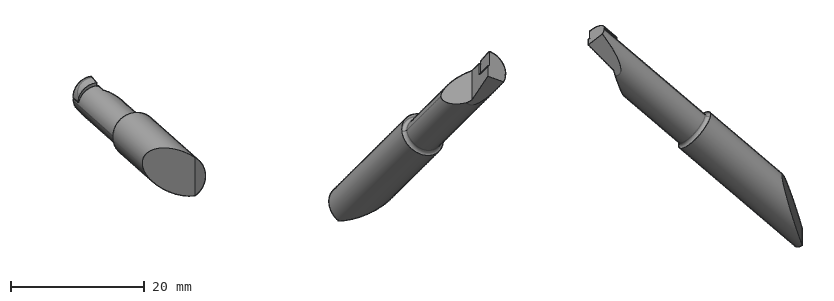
import cadquery as cq
import math

length = 45.5
shank_radius = 3.5
shoulder_x = 21.65
shank_flat_start = 36.25

neck_half_width = 2.95
neck_top_z = 2.4
neck_bottom_z = -2.95
neck_seam_z = -0.34
root_fillet = 0.6

rake_y = 0.2
ramp_start_x = 5.2
ramp_angle = math.radians(30)
heel_z = -1.3
heel_end_x = 6.2

head_length = 2.9
head_radius = 3.0
head_center_z = 0.1
head_floor_z = 0.05
clearance_radius = 3.1
clearance_center_z = 0.05
clearance_angle = 5.2
end_clearance = 0.3
groove_floor_y = -0.07
groove_bottom_z = 0.5
groove_slope_top_z = 0.7

margin = 4.55
overlap = 0.45
select_band = 0.05


def rod(radius, start_x, end_x, center_z=0.0):
    """Round rod along X."""
    section = cq.Workplane("YZ", origin=(start_x, 0, center_z)).circle(radius)
    return section.extrude(end_x - start_x)


def prism(plane, points):
    """Closed outline extruded both ways, through the whole part."""
    return cq.Workplane(plane).polyline(points).close().extrude(shank_radius + margin, both=True)


def shank_and_neck():
    """The oversized shoulder lets the root fillet run out at the shank surface."""
    shoulder = rod(shank_radius + margin, shoulder_x, length)
    neck = (
        cq.Workplane("YZ")
        .moveTo(-neck_half_width, neck_seam_z)
        .threePointArc((0, neck_top_z), (neck_half_width, neck_seam_z))
        .threePointArc((0, neck_bottom_z), (-neck_half_width, neck_seam_z))
        .close()
        .extrude(shoulder_x + overlap)
    )
    root_select = cq.selectors.BoxSelector(
        (shoulder_x - select_band, -neck_half_width, -shank_radius),
        (shoulder_x + select_band, neck_half_width, shank_radius),
    )
    body = shoulder.union(neck).edges(root_select).fillet(root_fillet)
    return body.intersect(rod(shank_radius, 0, length))


def cutting_head():
    """Raised head, relieved behind its tip by a cylinder falling toward the shank."""
    blank = rod(head_radius, 0, head_length, head_center_z)
    clearance = rod(clearance_radius, -margin, head_length + margin, clearance_center_z).rotate(
        (0, 0, clearance_center_z), (0, 1, clearance_center_z), clearance_angle
    )
    upper_front = cq.Workplane("XY").box(
        head_length, shank_radius, shank_radius, centered=False
    ).translate((0, rake_y - shank_radius, head_floor_z))
    return blank.intersect(clearance).intersect(upper_front)


def rake_cut():
    """Flat along the head, rising to the full neck width."""
    outer_y = shank_radius + margin
    ramp_end_x = ramp_start_x + (outer_y - rake_y) / math.tan(ramp_angle)
    points = [(-margin, rake_y), (ramp_start_x, rake_y), (ramp_end_x, outer_y), (-margin, outer_y)]
    return prism("XY", points).intersect(rod(2 * outer_y, -margin, shoulder_x))


def heel_cut():
    """Sloping relief under the head."""
    slope = (neck_bottom_z - heel_z) / heel_end_x
    end_x = heel_end_x + overlap
    end_z = heel_z + slope * end_x
    front_z = heel_z - slope * overlap
    floor_z = neck_bottom_z - margin
    return prism("XZ", [(-overlap, front_z), (end_x, end_z), (end_x, floor_z), (-overlap, floor_z)])


def end_face_cut():
    """Clearance sloping back from the cutting edge on the end face."""
    return prism("XY", [(0, rake_y), (end_clearance, -head_radius),
                        (end_clearance, -shank_radius), (-overlap, -shank_radius), (-overlap, rake_y)])


def chip_groove():
    """Shallow recess in the rake face, with a sloping lower edge."""
    outline = [(rake_y, groove_bottom_z), (groove_floor_y, groove_slope_top_z),
               (groove_floor_y, shank_radius), (rake_y, shank_radius)]
    return cq.Workplane("YZ").polyline(outline).close().extrude(head_length)


def shank_end_cut():
    """Inclined flat across the rear of the shank."""
    outer_y = -shank_radius
    end_x = length + margin
    end_y = outer_y + (end_x - shank_flat_start) * math.tan(ramp_angle)
    return prism("XY", [(shank_flat_start, outer_y), (end_x, end_y), (end_x, outer_y)])


result = shank_and_neck().union(cutting_head())
for cut_shape in (rake_cut(), heel_cut(), end_face_cut(), chip_groove(), shank_end_cut()):
    result = result.cut(cut_shape)